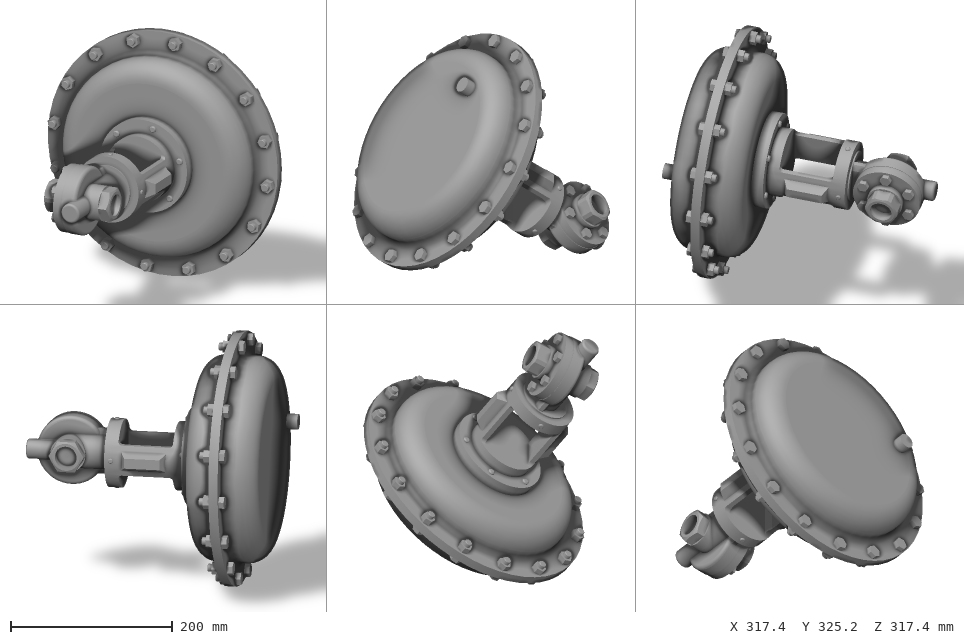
import cadquery as cq
import math


RIM_RADIUS = 158.7
RIM_FRONT_Y = 259.2
RIM_REAR_Y = 271.0
CASE_RADIUS = 128.8
CASE_FRONT_Y = 220.2
CASE_REAR_Y = 311.5
DOME_ROUND = 26.7
FRONT_FLARE = 6.0
REAR_FLARE = 6.8

FIRST_ANGLE = 15.0

BOLT_COUNT = 16
BOLT_CIRCLE_RADIUS = 148.3
BOLT_HEX_FLATS = 14.5
NUT_TURN = -7.5
HEAD_TURN = 22.5
BOLT_HEAD_HEIGHT = 6.8
NUT_HEIGHT = 8.0
STUD_RADIUS = 5.0
STUD_PROJECTION = 13.5
STUD_CHAMFER = 0.5

AIR_PIPE_X = -84.5
AIR_PIPE_Z = 28.5
AIR_PIPE_RADIUS = 9.8
AIR_PIPE_END_Y = 325.2

BOSS_RADIUS = 60.2
BOSS_FRONT_Y = 205.2
BOSS_SCREW_COUNT = 6
BOSS_SCREW_CIRCLE_RADIUS = 52.0
SCREW_HEAD_RADIUS = 4.2
SCREW_HEAD_HEIGHT = 3.0
SCREW_CHAMFER = 1.3

YOKE_RADIUS = 43.0
YOKE_FRONT_Y = 105.0
WINDOW_FRONT_Y = 122.0
WINDOW_REAR_Y = 190.5
WINDOW_HALF_WIDTH = 32.0
WINDOW_CORNER_CHAMFER_X = 2.5
WINDOW_CORNER_CHAMFER_Y = 10.5
WEB_HALF_THICKNESS = 19.2
WEB_FILLET = 4.5
SET_SCREW_COUNT = 4
SET_SCREW_Y = 113.2
SET_SCREW_RADIUS = 3.3
SET_SCREW_PROJECTION = 2.0
SET_SCREW_CHAMFER = 1.0

PAD_BASE_X = 40.3
PAD_TOP_X = 52.7
PAD_CENTER_Y = 154.5
PAD_BASE_LENGTH = 58.0
PAD_BASE_WIDTH = 24.5
PAD_TOP_LENGTH = 44.5
PAD_TOP_WIDTH = 12.7

SPIGOT_RADIUS = 32.0
SPIGOT_FRONT_Y = 103.0
NECK_RADIUS = 22.0
NECK_X = -3.0
RIB_LEFT_X = -14.5
RIB_TOP_LEFT_X = -10.5
RIB_TOP_RIGHT_X = -5.0
RIB_RIGHT_X = 0.0
RIB_TOP_Z = 29.0

PORT_Y = 55.3
BODY_REAR_X = 1.0
BODY_ROUND = 4.5
BONNET_RADIUS = 43.0
BODY_RADIUS = 43.5
BONNET_REAR_X = -17.5
BONNET_FACE_X = -29.3
BONNET_BOLT_COUNT = 6
BONNET_BOLT_CIRCLE_RADIUS = 33.5
BONNET_BOLT_FLATS = 12.5
BONNET_BOLT_HEIGHT = 6.0
STUB_RADIUS = 12.5
STUB_ROUND = 3.0
JOINT_BLEND = 1.3

HEX_FLATS = 38.5
HEX_CORNER_FLATS = 41.3
UNION_COLLAR_RADIUS = 22.5
UNION_HEX_X = -37.0
UNION_END_X = -54.3
OUTLET_HEX_X = 20.8
OUTLET_END_X = 35.8
HEX_END_RADIUS = 17.2
HEX_END_TAPER = 2.5
PORT_BORE_RADIUS = 13.5
PORT_BORE_DEPTH = 13.5

SINK = 1.5

EDGE_TOLERANCE = 0.05


def y_cylinder(radius, y_start, y_end, x=0.0, z=0.0):
    """Cylinder parallel to Y."""
    axis = cq.Vector(0, 1, 0)
    return cq.Workplane(cq.Solid.makeCylinder(radius, y_end - y_start, cq.Vector(x, y_start, z), axis))


def x_cylinder(radius, x_start, x_end):
    """Cylinder on the port axis."""
    axis = cq.Vector(1, 0, 0)
    return cq.Workplane(cq.Solid.makeCylinder(radius, x_end - x_start, cq.Vector(x_start, PORT_Y, 0), axis))


def corner_diameter(flats):
    """Diameter across the corners of a hexagon, from its width across flats."""
    return flats / math.cos(math.radians(30))


def hexagon(plane, flats, height, turn=0.0):
    """Hexagonal prism standing on a plane, with corners on the plane's x direction plus a turn."""
    turned_plane = plane.transformed(rotate=(0, 0, turn))
    return turned_plane.polygon(6, corner_diameter(flats)).extrude(height)


def on_circle(feature, radius, angle):
    """Move a feature out along +X, then turn it about Y by an angle measured from +X towards +Z."""
    return feature.translate((radius, 0, 0)).rotate((0, 0, 0), (0, 1, 0), -angle)


def diaphragm_case():
    dome_flat = CASE_RADIUS - DOME_ROUND
    front_arc_y = CASE_FRONT_Y + DOME_ROUND
    rear_arc_y = CASE_REAR_Y - DOME_ROUND
    profile = (
        cq.Workplane("XY")
        .moveTo(0, CASE_FRONT_Y)
        .lineTo(dome_flat, CASE_FRONT_Y)
        .radiusArc((CASE_RADIUS, front_arc_y), -DOME_ROUND)
        .lineTo(CASE_RADIUS, RIM_FRONT_Y - FRONT_FLARE)
        .radiusArc((CASE_RADIUS + FRONT_FLARE, RIM_FRONT_Y), FRONT_FLARE)
        .lineTo(RIM_RADIUS, RIM_FRONT_Y)
        .lineTo(RIM_RADIUS, RIM_REAR_Y)
        .lineTo(CASE_RADIUS + REAR_FLARE, RIM_REAR_Y)
        .radiusArc((CASE_RADIUS, RIM_REAR_Y + REAR_FLARE), REAR_FLARE)
        .lineTo(CASE_RADIUS, rear_arc_y)
        .radiusArc((dome_flat, CASE_REAR_Y), -DOME_ROUND)
        .lineTo(0, CASE_REAR_Y)
        .close()
    )
    case = profile.revolve(360, (0, 0, 0), (0, 1, 0))
    air_pipe = y_cylinder(AIR_PIPE_RADIUS, CASE_REAR_Y - SINK, AIR_PIPE_END_Y, AIR_PIPE_X, AIR_PIPE_Z)
    return case.union(air_pipe)


def rim_bolt():
    """One bolt clamping the rim: head behind, nut and stud end in front."""
    grip = RIM_REAR_Y - RIM_FRONT_Y
    nut_plane = cq.Workplane("XZ", origin=(0, RIM_FRONT_Y + grip / 2, 0))
    head_plane = cq.Workplane("XZ", origin=(0, RIM_REAR_Y + BOLT_HEAD_HEIGHT, 0))
    nut = hexagon(nut_plane, BOLT_HEX_FLATS, NUT_HEIGHT + grip / 2, NUT_TURN)
    head = hexagon(head_plane, BOLT_HEX_FLATS, BOLT_HEAD_HEIGHT + grip / 2, HEAD_TURN)
    stud = y_cylinder(STUD_RADIUS, RIM_FRONT_Y - STUD_PROJECTION, RIM_REAR_Y)
    stud = stud.faces("<Y").chamfer(STUD_CHAMFER)
    return nut.union(head).union(stud)


def boss():
    plate = y_cylinder(BOSS_RADIUS, BOSS_FRONT_Y, CASE_FRONT_Y + SINK)
    head = y_cylinder(SCREW_HEAD_RADIUS, BOSS_FRONT_Y - SCREW_HEAD_HEIGHT, BOSS_FRONT_Y + SINK)
    head = head.faces("<Y").chamfer(SCREW_CHAMFER)
    for i in range(BOSS_SCREW_COUNT):
        angle = FIRST_ANGLE + i * 360 / BOSS_SCREW_COUNT
        plate = plate.union(on_circle(head, BOSS_SCREW_CIRCLE_RADIUS, angle))
    return plate


def web_pad():
    """Tapered pad on the +X web."""
    return (
        cq.Workplane("YZ", origin=(PAD_BASE_X, PAD_CENTER_Y, 0))
        .rect(PAD_BASE_LENGTH, PAD_BASE_WIDTH)
        .workplane(offset=PAD_TOP_X - PAD_BASE_X)
        .rect(PAD_TOP_LENGTH, PAD_TOP_WIDTH)
        .loft(ruled=True)
    )


def yoke():
    body = y_cylinder(YOKE_RADIUS, YOKE_FRONT_Y, BOSS_FRONT_Y + SINK)
    window_length = WINDOW_REAR_Y - WINDOW_FRONT_Y
    window_center_y = (WINDOW_REAR_Y + WINDOW_FRONT_Y) / 2

    for side in (1, -1):
        relief = (
            cq.Workplane("XY")
            .box(2 * YOKE_RADIUS, window_length, YOKE_RADIUS)
            .translate((0, window_center_y, side * (WEB_HALF_THICKNESS + YOKE_RADIUS / 2)))
        )
        inner_face = "<Z" if side > 0 else ">Z"
        body = body.cut(relief.faces(inner_face).edges("|X").fillet(WEB_FILLET))

    front_half_width = WINDOW_HALF_WIDTH - WINDOW_CORNER_CHAMFER_X
    window = (
        cq.Workplane("XY")
        .polyline([
            (-WINDOW_HALF_WIDTH, WINDOW_REAR_Y),
            (-WINDOW_HALF_WIDTH, WINDOW_FRONT_Y + WINDOW_CORNER_CHAMFER_Y),
            (-front_half_width, WINDOW_FRONT_Y),
            (front_half_width, WINDOW_FRONT_Y),
            (WINDOW_HALF_WIDTH, WINDOW_FRONT_Y + WINDOW_CORNER_CHAMFER_Y),
            (WINDOW_HALF_WIDTH, WINDOW_REAR_Y),
        ])
        .close()
        .extrude(YOKE_RADIUS, both=True)
    )
    body = body.cut(window)

    pad = web_pad()
    body = body.union(pad).union(pad.mirror("YZ"))

    screw = (
        cq.Workplane("YZ", origin=(YOKE_RADIUS - SINK, SET_SCREW_Y, 0))
        .circle(SET_SCREW_RADIUS)
        .extrude(SINK + SET_SCREW_PROJECTION)
        .faces(">X")
        .chamfer(SET_SCREW_CHAMFER)
    )
    for i in range(SET_SCREW_COUNT):
        body = body.union(on_circle(screw, 0, i * 360 / SET_SCREW_COUNT))
    return body


def neck():
    spigot = y_cylinder(SPIGOT_RADIUS, SPIGOT_FRONT_Y, YOKE_FRONT_Y + SINK)
    column = y_cylinder(NECK_RADIUS, PORT_Y, SPIGOT_FRONT_Y + SINK, NECK_X)
    outline = [
        (RIB_LEFT_X, -NECK_RADIUS),
        (RIB_TOP_LEFT_X, -RIB_TOP_Z),
        (RIB_TOP_RIGHT_X, -RIB_TOP_Z),
        (RIB_RIGHT_X, -NECK_RADIUS),
        (RIB_RIGHT_X, NECK_RADIUS),
        (RIB_TOP_RIGHT_X, RIB_TOP_Z),
        (RIB_TOP_LEFT_X, RIB_TOP_Z),
        (RIB_LEFT_X, NECK_RADIUS),
    ]
    ribs = (
        cq.Workplane("XZ", origin=(0, SPIGOT_FRONT_Y + SINK, 0))
        .polyline(outline)
        .close()
        .extrude(SPIGOT_FRONT_Y + SINK - PORT_Y)
    )
    reach = 2 * NECK_RADIUS
    mitre = (
        cq.Workplane("XY")
        .polyline([(NECK_X, PORT_Y), (NECK_X + reach, PORT_Y), (NECK_X + reach, PORT_Y + reach)])
        .close()
        .extrude(reach, both=True)
    )
    left_side = (
        cq.Workplane("XY")
        .box(reach, 2 * (SPIGOT_FRONT_Y + SINK), 2 * reach)
        .translate((RIB_LEFT_X - reach / 2, 0, 0))
    )
    return column.cut(mitre).cut(left_side).union(ribs).union(spigot)


def valve_body():
    body = x_cylinder(BODY_RADIUS, BONNET_REAR_X, BODY_REAR_X).faces(">X").edges().fillet(BODY_ROUND)
    bonnet = x_cylinder(BONNET_RADIUS, BONNET_FACE_X, BONNET_REAR_X + SINK)
    stub = y_cylinder(STUB_RADIUS, 0, PORT_Y).faces("<Y").edges().fillet(STUB_ROUND)
    body = body.union(bonnet).union(stub)

    bolt_plane = cq.Workplane("YZ", origin=(BONNET_FACE_X - BONNET_BOLT_HEIGHT, PORT_Y, 0))
    for i in range(BONNET_BOLT_COUNT):
        angle = math.radians(90 + i * 360 / BONNET_BOLT_COUNT)
        place = bolt_plane.center(
            BONNET_BOLT_CIRCLE_RADIUS * math.cos(angle),
            BONNET_BOLT_CIRCLE_RADIUS * math.sin(angle),
        )
        body = body.union(hexagon(place, BONNET_BOLT_FLATS, BONNET_BOLT_HEIGHT + SINK))
    return body


def turned_blank(base_x, end_x):
    """Round blank on the port axis, tapered at its end, that trims the end of a hexagon."""
    corner_radius = corner_diameter(HEX_FLATS) / 2
    taper_x = end_x - math.copysign(HEX_END_TAPER, end_x - base_x)
    return (
        cq.Workplane("XY", origin=(0, PORT_Y, 0))
        .polyline([
            (base_x, 0),
            (base_x, corner_radius),
            (taper_x, corner_radius),
            (end_x, HEX_END_RADIUS),
            (end_x, 0),
        ])
        .close()
        .revolve(360, (0, 0, 0), (1, 0, 0))
    )


def inlet_union():
    """Collar and hexagon with trimmed corners on the bonnet side."""
    collar = x_cylinder(UNION_COLLAR_RADIUS, UNION_HEX_X, BONNET_FACE_X + SINK)
    plane = cq.Workplane("YZ", origin=(UNION_END_X, PORT_Y, 0))
    length = UNION_HEX_X - UNION_END_X + SINK
    nut = hexagon(plane, HEX_FLATS, length).intersect(hexagon(plane, HEX_CORNER_FLATS, length, 30))
    return collar.union(nut.intersect(turned_blank(UNION_HEX_X + SINK, UNION_END_X)))


def outlet():
    """Round neck ending in a hexagon whose end corners are turned off."""
    barrel = x_cylinder(NECK_RADIUS, NECK_X, OUTLET_HEX_X + SINK)
    plane = cq.Workplane("YZ", origin=(OUTLET_HEX_X, PORT_Y, 0))
    length = OUTLET_END_X - OUTLET_HEX_X
    nut = hexagon(plane, HEX_FLATS, length)
    return barrel.union(nut.intersect(turned_blank(OUTLET_HEX_X, OUTLET_END_X)))


def rim_bolts():
    bolt = rim_bolt()
    for i in range(BOLT_COUNT):
        yield on_circle(bolt, BOLT_CIRCLE_RADIUS, FIRST_ANGLE + i * 360 / BOLT_COUNT)


def is_blended_joint(edge):
    """Whether an edge is where the stub or the ribs meet the cylindrical outside of the body."""
    points = [edge.positionAt(t) for t in (0, 0.3, 0.6, 1)]
    on_outside = all(abs(math.hypot(p.y - PORT_Y, p.z) - BODY_RADIUS) < EDGE_TOLERANCE for p in points)
    center = edge.Center()
    clear_of_rear_round = center.x < BODY_REAR_X - BODY_ROUND - EDGE_TOLERANCE
    off_port_axis = abs(center.y - PORT_Y) > NECK_RADIUS
    return on_outside and clear_of_rear_round and off_port_axis


def valve():
    """Neck and body blended where they meet, with both port connections and their bores."""
    casting = neck().union(valve_body())
    joints = casting.edges().filter(is_blended_joint)
    casting = cq.Workplane(casting.val().fillet(JOINT_BLEND, joints.vals()))
    casting = casting.union(inlet_union()).union(outlet())
    inlet_bore = x_cylinder(PORT_BORE_RADIUS, UNION_END_X, UNION_END_X + PORT_BORE_DEPTH)
    outlet_bore = x_cylinder(PORT_BORE_RADIUS, OUTLET_END_X - PORT_BORE_DEPTH, OUTLET_END_X)
    return casting.cut(inlet_bore).cut(outlet_bore)


result = diaphragm_case()
for bolt in rim_bolts():
    result = result.union(bolt)
result = result.union(boss()).union(yoke()).union(valve())